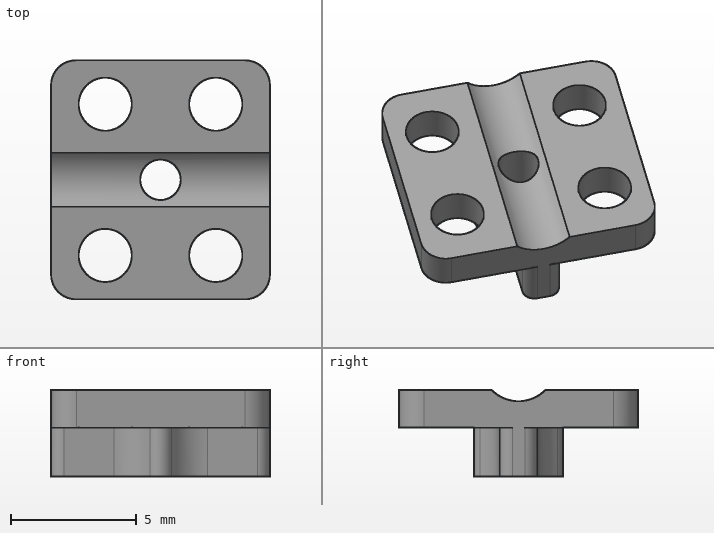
import cadquery as cq
import math

plate_width = 8.7
plate_length = 9.5
plate_thickness = 1.5
corner_radius = 1.0

mount_diameter = 2.1
mount_spacing_x = 4.39
mount_spacing_y = 6.0

groove_radius = 1.5
groove_depth = 0.45

center_diameter = 1.6

overall_height = 3.45
rib_height = overall_height - plate_thickness
rib_width = 1.5
rib_end_radius = 0.5
lobe_reach = 1.77
lobe_tip_radius = 0.5
flare_start = 1.86


def make_plate():
    """Rounded plate with its underside at Z = 0."""
    plate = cq.Workplane("XY").box(
        plate_width, plate_length, plate_thickness, centered=(True, True, False)
    )
    return plate.edges("|Z").fillet(corner_radius)


def make_rib():
    """Straight rib with rounded ends, hanging below the plate."""
    rib = cq.Workplane("XY").box(plate_width, rib_width, rib_height, centered=(True, True, False))
    return rib.edges("|Z").fillet(rib_end_radius).translate((0, 0, -rib_height))


def make_lobes():
    """Both lobes: convex tips blended into the rib sides by tangent concave arcs."""
    half_rib = rib_width / 2
    tip_center_y = lobe_reach - lobe_tip_radius

    tip_rise = tip_center_y - half_rib
    flare_radius = (flare_start**2 + tip_rise**2 - lobe_tip_radius**2) / (
        2 * (tip_rise + lobe_tip_radius)
    )
    flare_center_y = half_rib + flare_radius
    flare_angle = math.atan2(flare_center_y - tip_center_y, flare_start)
    join_x = lobe_tip_radius * math.cos(flare_angle)
    join_y = tip_center_y + lobe_tip_radius * math.sin(flare_angle)

    middle_angle = (math.pi / 2 + flare_angle) / 2
    middle_x = flare_start - flare_radius * math.cos(middle_angle)
    middle_y = flare_center_y - flare_radius * math.sin(middle_angle)

    lobes = (
        cq.Workplane("XY")
        .moveTo(flare_start, half_rib)
        .threePointArc((middle_x, middle_y), (join_x, join_y))
        .threePointArc((0, lobe_reach), (-join_x, join_y))
        .threePointArc((-middle_x, middle_y), (-flare_start, half_rib))
        .lineTo(-flare_start, -half_rib)
        .threePointArc((-middle_x, -middle_y), (-join_x, -join_y))
        .threePointArc((0, -lobe_reach), (join_x, -join_y))
        .threePointArc((middle_x, -middle_y), (flare_start, -half_rib))
        .close()
    )
    return lobes.extrude(-rib_height)


def make_groove():
    """Cylinder whose lowest line lies groove_depth below the top face."""
    axis_height = plate_thickness - groove_depth + groove_radius
    return (
        cq.Workplane("YZ")
        .center(0, axis_height)
        .circle(groove_radius)
        .extrude(plate_width / 2, both=True)
    )


def make_holes():
    """Four mounting holes through the plate and one central hole through everything."""
    mounts = (
        cq.Workplane("XY")
        .rarray(mount_spacing_x, mount_spacing_y, 2, 2)
        .circle(mount_diameter / 2)
        .extrude(plate_thickness)
    )
    center = (
        cq.Workplane("XY")
        .workplane(offset=-rib_height)
        .circle(center_diameter / 2)
        .extrude(overall_height)
    )
    return mounts.union(center)


body = make_plate().union(make_rib()).union(make_lobes())
result = body.cut(make_groove()).cut(make_holes())